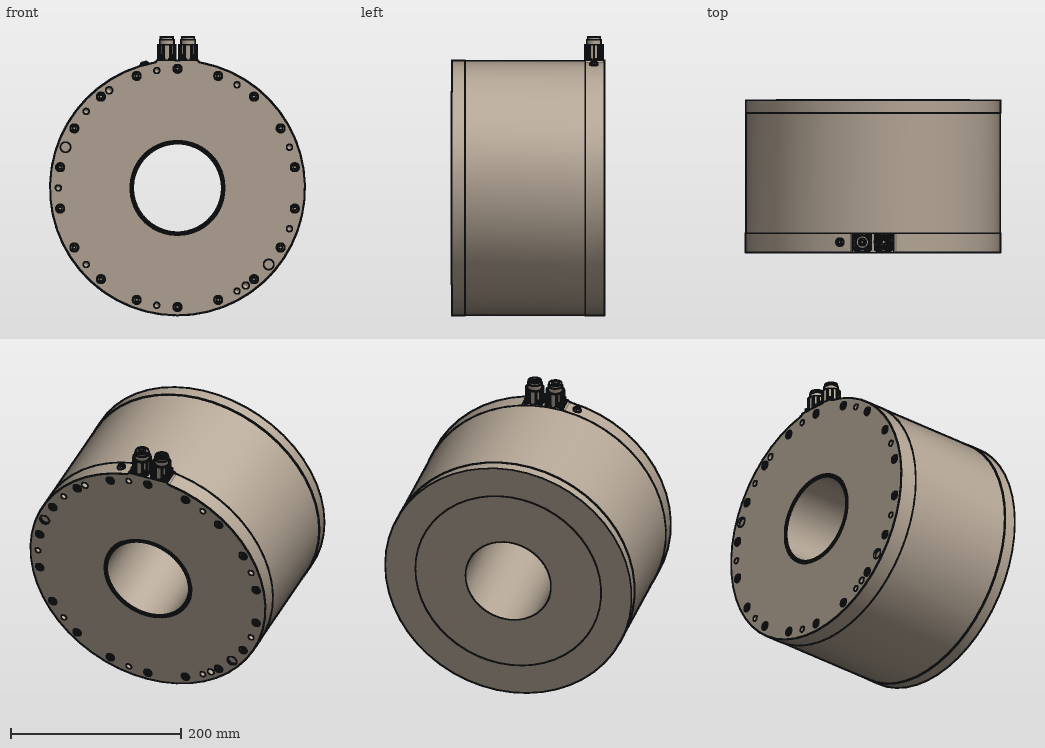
import cadquery as cq
import math

outer_radius = 150.0
front_flange_width = 23.0
rear_flange_width = 15.0
housing_length = 179.5
rear_ring_height = 0.5
rear_ring_radius = 113.0
total_length = housing_length + rear_ring_height
body_radius = 149.7
rear_groove_width = 0.8
rear_groove_radius = 149.4
front_edge_chamfer = 0.5

bore_radius = 52.0
sleeve_radius = 54.0
recess_radius = 55.5
sleeve_setback = 0.5
sleeve_gap_depth = 2.0

pattern_radius = 140.0
bolt_count = 18
bolt_recess_diameter = 10.0
bolt_recess_depth = 5.0
bolt_head_diameter = 8.5
bolt_head_setback = 0.5
hex_key_size = 4.0
hex_key_depth = 2.5
threaded_hole_count = 9
threaded_hole_diameter = 6.8
threaded_hole_depth = 15.0
threaded_hole_start = 10.0
dowel_diameter = 8.0
dowel_depth = 12.0
dowel_angles = (35.0, 215.0)
drill_point_angle = 118.0
shallow_recess_diameter = 12.0
shallow_recess_depth = 3.0
shallow_recess_angles = (70.0, 230.0)

pad_half_width = 24.5
pad_foot_half_width = 27.5
pad_fillet_sag = 0.5

connector_pitch = 25.0
connector_y = 12.5
connector_top = 177.5
plate_size = 21.0
plate_thickness = 1.8
plate_corner_radius = 3.2
nut_diameter = 21.5
nut_top = 168.0
groove_depth = 0.9
nut_grooves = ((-66.0, 1.8), (-33.0, 1.8), (0.0, 0.8), (33.0, 1.8), (66.0, 1.8))
corner_pocket_top = 156.3
corner_pocket_inset = 5.3
collar_diameter = 17.0
collar_top = 174.2
tip_diameter = 15.0
flange_screw_diameter = 4.5
flange_screw_head_height = 2.2
flange_screw_shank_diameter = 3.2
flange_screw_height = 5.2
flange_screw_offset = 8.0
flange_screw_socket_diameter = 2.0
flange_screw_socket_depth = 1.5
cavity_depth = 6.0
pin_height = 4.0
pin_start_angle = 90.0

left_insert = (9.0, 1.5, [(2.6, 5)])
right_insert = (13.0, 1.0, [(4.8, 11), (2.6, 6)])

plug_angle = 15.0
plug_y = 12.5
plug_flange_diameter = 9.4
plug_flange_top = 150.8
plug_head_top_diameter = 6.4
plug_head_top = 153.0
plug_seat = 147.0
plug_socket_size = 4.0
plug_socket_depth = 2.5


def disc(radius, y_start, y_end):
    """Cylinder on the Y axis between two y positions."""
    return cq.Workplane("XZ", origin=(0, y_start, 0)).circle(radius).extrude(y_start - y_end)


def post(diameter, z_start, z_end, x=0.0, y=0.0):
    """Vertical cylinder between two z positions."""
    return cq.Workplane("XY", origin=(x, y, z_start)).circle(diameter / 2).extrude(z_end - z_start)


def pattern_point(angle):
    """X and Z of a point on the hole circle, angle measured from +Z toward -X."""
    turn = math.radians(angle)
    return (-pattern_radius * math.sin(turn), pattern_radius * math.cos(turn))


def even_angles(count, start=0.0):
    return [start + i * 360.0 / count for i in range(count)]


def make_housing():
    front = disc(outer_radius, 0, front_flange_width).faces("<Y").edges().chamfer(front_edge_chamfer)
    rear_start = housing_length - rear_flange_width
    groove_start = rear_start - rear_groove_width
    body = disc(body_radius, front_flange_width, groove_start)
    groove_floor = disc(rear_groove_radius, groove_start, rear_start)
    rear = disc(outer_radius, rear_start, housing_length)
    ring = disc(rear_ring_radius, housing_length, total_length)
    return front.union(make_pad()).union(body).union(groove_floor).union(rear).union(ring)


def make_pad():
    """Flat seat for the connectors, blended into the rim by concave arcs."""
    foot_z = math.sqrt(outer_radius**2 - pad_foot_half_width**2)
    mid_x = (pad_half_width + pad_foot_half_width) / 2 - pad_fillet_sag
    mid_z = (outer_radius + foot_z) / 2 - pad_fillet_sag
    return (
        cq.Workplane("XZ")
        .moveTo(-pad_half_width, outer_radius)
        .lineTo(pad_half_width, outer_radius)
        .threePointArc((mid_x, mid_z), (pad_foot_half_width, foot_z))
        .lineTo(0, 0)
        .lineTo(-pad_foot_half_width, foot_z)
        .threePointArc((-mid_x, mid_z), (-pad_half_width, outer_radius))
        .close()
        .extrude(-front_flange_width)
    )


def cut_bore(part):
    gap = disc(recess_radius, 0, sleeve_gap_depth).cut(disc(sleeve_radius, 0, sleeve_gap_depth))
    return part.cut(disc(bore_radius, 0, total_length)).cut(disc(recess_radius, 0, sleeve_setback)).cut(gap)


def cut_bolts(part):
    """Counterbores, each with a socket head standing inside."""
    points = [pattern_point(a) for a in even_angles(bolt_count)]
    recess_plane = cq.Workplane("XZ").pushPoints(points)
    recesses = recess_plane.circle(bolt_recess_diameter / 2).extrude(-bolt_recess_depth)
    head_plane = cq.Workplane("XZ", origin=(0, bolt_head_setback, 0)).pushPoints(points)
    heads = head_plane.circle(bolt_head_diameter / 2).extrude(bolt_head_setback - bolt_recess_depth)
    socket_plane = cq.Workplane("XZ", origin=(0, bolt_head_setback, 0)).pushPoints(points)
    sockets = socket_plane.polygon(6, hex_key_size, circumscribed=True).extrude(-hex_key_depth)
    return part.cut(recesses.cut(heads)).cut(sockets)


def cut_drilled_holes(part, angles, diameter, depth):
    """Blind holes with a conical drill point."""
    radius = diameter / 2
    point_length = radius / math.tan(math.radians(drill_point_angle / 2))
    for angle in angles:
        x, z = pattern_point(angle)
        drill = (
            cq.Workplane("XY")
            .polyline([(0, 0), (radius, 0), (radius, depth), (0, depth + point_length)])
            .close()
            .revolve(360, (0, 0, 0), (0, 1, 0))
            .translate((x, 0, z))
        )
        part = part.cut(drill)
    return part


def cut_shallow_recesses(part):
    points = [pattern_point(a) for a in shallow_recess_angles]
    radius = shallow_recess_diameter / 2
    return part.cut(cq.Workplane("XZ").pushPoints(points).circle(radius).extrude(-shallow_recess_depth))


def cut_nut_groove(nut, angle, width):
    groove = (
        cq.Workplane("XY", origin=(0, 0, outer_radius))
        .center(nut_diameter / 2, 0)
        .rect(2 * groove_depth, width)
        .extrude(nut_top - outer_radius)
        .rotate((0, 0, 0), (0, 0, 1), angle)
    )
    return nut.cut(groove)


def make_nut():
    """Grooved round body, cut away at the four lower corners to clear the flange screws."""
    nut = post(nut_diameter, outer_radius, nut_top)
    for angle, width in nut_grooves:
        for side in (0, 180):
            nut = cut_nut_groove(nut, side + angle, width)
    corner_distance = corner_pocket_inset + plate_size / 2
    pockets = (
        cq.Workplane("XY", origin=(0, 0, outer_radius))
        .rect(2 * corner_distance, 2 * corner_distance, forConstruction=True)
        .vertices()
        .rect(plate_size, plate_size)
        .extrude(corner_pocket_top - outer_radius)
    )
    return nut.cut(pockets)


def make_flange_screw():
    head_top = outer_radius + flange_screw_height
    shank = post(flange_screw_shank_diameter, outer_radius, head_top)
    head = post(flange_screw_diameter, head_top - flange_screw_head_height, head_top)
    socket = post(flange_screw_socket_diameter, head_top - flange_screw_socket_depth, head_top)
    return shank.union(head).cut(socket)


def make_connector(insert):
    cavity_diameter, pin_diameter, pin_rows = insert
    plate_plane = cq.Workplane("XY", origin=(0, 0, outer_radius))
    plate = plate_plane.rect(plate_size, plate_size).extrude(plate_thickness)
    plate = plate.edges("|Z").fillet(plate_corner_radius)
    connector = plate.union(make_nut())
    for x in (-flange_screw_offset, flange_screw_offset):
        for y in (-flange_screw_offset, flange_screw_offset):
            connector = connector.union(make_flange_screw().translate((x, y, 0)))
    connector = connector.union(post(collar_diameter, nut_top, collar_top))
    connector = connector.union(post(tip_diameter, collar_top, connector_top))
    floor = connector_top - cavity_depth
    connector = connector.cut(post(cavity_diameter, floor, connector_top))
    for row_radius, count in pin_rows:
        pins = (
            cq.Workplane("XY", origin=(0, 0, floor))
            .polarArray(row_radius, pin_start_angle, 360, count)
            .circle(pin_diameter / 2)
            .extrude(pin_height)
        )
        connector = connector.union(pins)
    return connector


def make_plug():
    plug = post(plug_flange_diameter, plug_seat, plug_flange_top)
    head = (
        cq.Workplane("XY", origin=(0, 0, plug_flange_top))
        .circle(plug_flange_diameter / 2)
        .workplane(offset=plug_head_top - plug_flange_top)
        .circle(plug_head_top_diameter / 2)
        .loft()
    )
    plug = plug.union(head)
    socket = (
        cq.Workplane("XY", origin=(0, 0, plug_head_top))
        .polygon(6, plug_socket_size, circumscribed=True)
        .extrude(-plug_socket_depth)
    )
    return plug.cut(socket).translate((0, plug_y, 0)).rotate((0, 0, 0), (0, 1, 0), -plug_angle)


housing = cut_bore(make_housing())
housing = cut_bolts(housing)
threaded_angles = even_angles(threaded_hole_count, threaded_hole_start)
housing = cut_drilled_holes(housing, threaded_angles, threaded_hole_diameter, threaded_hole_depth)
housing = cut_drilled_holes(housing, dowel_angles, dowel_diameter, dowel_depth)
housing = cut_shallow_recesses(housing)
left_connector = make_connector(left_insert).translate((-connector_pitch / 2, connector_y, 0))
right_connector = make_connector(right_insert).translate((connector_pitch / 2, connector_y, 0))
result = housing.union(left_connector).union(right_connector).union(make_plug())